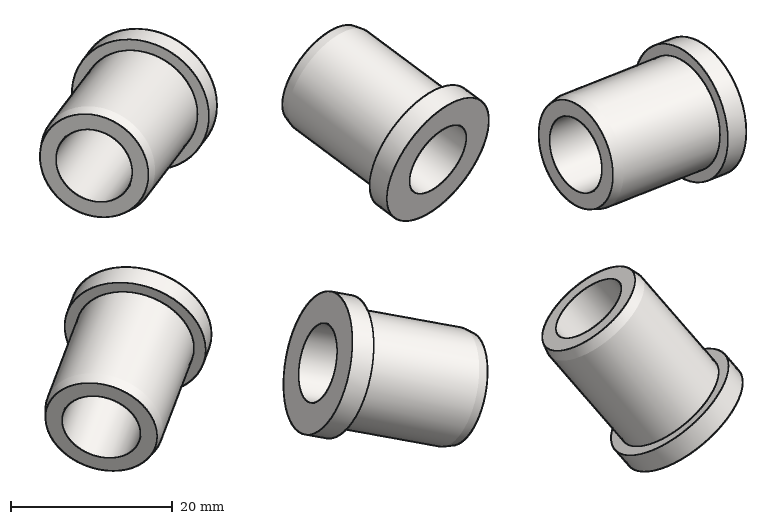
import cadquery as cq
import math

total_length = 20.0
flange_diameter = 18.0
flange_thickness = 3.0
body_diameter = 15.0
bore_diameter = 10.0
lead_in_length = 1.4
lead_in_angle = 15.0

flange_radius = flange_diameter / 2
body_radius = body_diameter / 2
bore_radius = bore_diameter / 2
tip_radius = body_radius - lead_in_length * math.tan(math.radians(lead_in_angle))
shoulder_y = total_length - flange_thickness

half_section = (
    cq.Workplane("XY")
    .moveTo(bore_radius, 0)
    .lineTo(tip_radius, 0)
    .lineTo(body_radius, lead_in_length)
    .lineTo(body_radius, shoulder_y)
    .lineTo(flange_radius, shoulder_y)
    .lineTo(flange_radius, total_length)
    .lineTo(bore_radius, total_length)
    .close()
)

result = half_section.revolve(360, (0, 0, 0), (0, 1, 0))